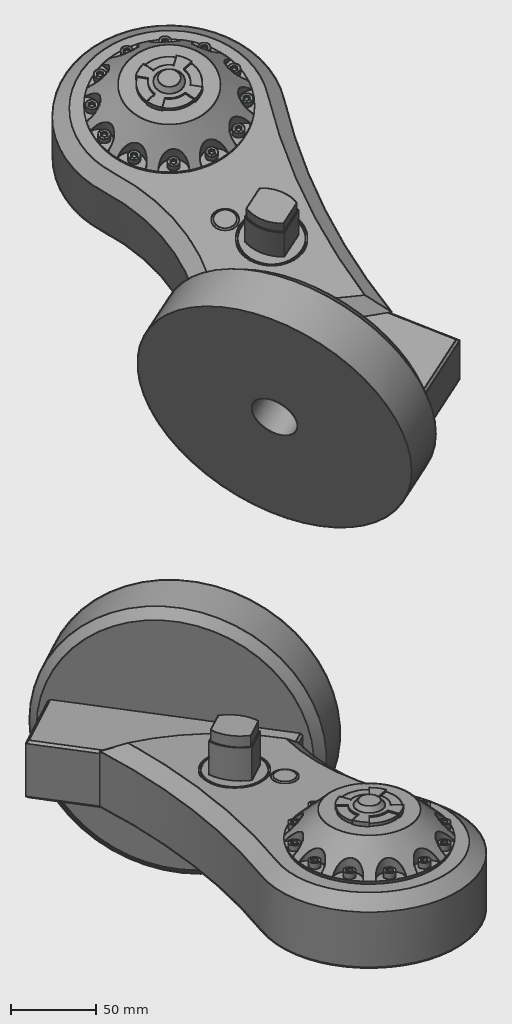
import math

import cadquery as cq

DISC_RADIUS = 90.0
DISC_THICKNESS = 37.5
DISC_CHAMFER = 6.0
BORE_RADIUS = 15.0

BLOCK_WIDTH = 154.5
BLOCK_BACK_Y = 87.5
BLOCK_HEIGHT = 39.0
BLOCK_TOP_Z = BLOCK_HEIGHT / 2
BASE_Z = -BLOCK_HEIGHT / 2
EDGE_BREAK = 1.6

HUB_RADIUS = 68.5
HUB_CENTER = (-150.0, 160.0)
RIM_HEIGHT = 7.5
RIM_WIDTH = 10.0
ARM_TOP_Z = BLOCK_TOP_Z + RIM_HEIGHT
LOWER_SIDE_RADIUS = 129.0
UPPER_SIDE_RADIUS = 460.0
TIP_RADIUS = 147.0
LOWER_CORNER = (-BLOCK_WIDTH / 2, 48.0)
UPPER_CORNER = (32.5, BLOCK_BACK_Y)

DOME_RADIUS = 50.0
DOME_FOOT_RADIUS = 49.0
DOME_FOOT_HEIGHT = 2.5
DOME_TOP_RADIUS = 30.0
DOME_HEIGHT = 22.0
DOME_TOP_Z = ARM_TOP_Z + DOME_HEIGHT

SCREW_COUNT = 12
SCALLOP_RADIUS = 9.2
SCALLOP_CIRCLE = 49.5
SEAT_Z = ARM_TOP_Z + DOME_FOOT_HEIGHT
SCREW_CIRCLE = 45.4
SCREW_RADIUS = 3.7
SCREW_HEIGHT = 4.0
SOCKET_ACROSS_CORNERS = 4.4
SOCKET_DEPTH = 2.0

CAP_RADIUS = 20.0
CAP_HEIGHT = 3.0
CAP_HUB_RADIUS = 12.5
SPOKE_COUNT = 4
SECTOR_RADIUS = 19.4
SECTOR_RECESS = 1.0
SPOKE_INNER_WIDTH = 6.5
SPOKE_OUTER_WIDTH = 10.5
KNOB_RADIUS = 9.3
KNOB_TOP_RADIUS = 6.7
KNOB_HEIGHT = 3.2

POST_CENTER = (-52.5, 100.0)
POST_WIDTH = 26.0
POST_DEPTH = 25.4
POST_FLAT_WIDTH = 18.8
POST_TOP_Z = 57.0
POST_STEP_Z = 49.5
POST_STEP_INSET = 0.8
GROOVE_RADIUS = 21.0
GROOVE_WIDTH = 1.2
GROOVE_DEPTH = 1.0

BUTTON_CENTER = (-83.0, POST_CENTER[1])
BUTTON_RADIUS = 8.2
BUTTON_SLOPE_WIDTH = 1.3
BUTTON_HEIGHT = 0.6


def circle_crossing(center_a, radius_a, center_b, radius_b):
    """Crossing of two circles that lies to the left of the line from a to b."""
    dx = center_b[0] - center_a[0]
    dy = center_b[1] - center_a[1]
    distance = math.hypot(dx, dy)
    along = (distance**2 + radius_a**2 - radius_b**2) / (2 * distance)
    across = math.sqrt(radius_a**2 - along**2)
    return (
        center_a[0] + (along * dx - across * dy) / distance,
        center_a[1] + (along * dy + across * dx) / distance,
    )


def toward(start, target, length):
    """Point at the given length from start in the direction of target."""
    dx = target[0] - start[0]
    dy = target[1] - start[1]
    scale = length / math.hypot(dx, dy)
    return (start[0] + scale * dx, start[1] + scale * dy)


def middle(point_a, point_b):
    return ((point_a[0] + point_b[0]) / 2, (point_a[1] + point_b[1]) / 2)


def arc_middle(center, radius, start, end):
    """Middle point of the shorter arc from start to end."""
    return toward(center, middle(start, end), radius)


def cylinder(center, radius, bottom_z, height):
    return cq.Workplane("XY", origin=(*center, bottom_z)).circle(radius).extrude(height)


def arm_outline(inset):
    """Closed arm outline, moved inward by the given inset."""
    lower_center = circle_crossing(
        LOWER_CORNER, LOWER_SIDE_RADIUS, HUB_CENTER, HUB_RADIUS + LOWER_SIDE_RADIUS
    )
    upper_center = circle_crossing(
        HUB_CENTER, HUB_RADIUS + UPPER_SIDE_RADIUS, UPPER_CORNER, UPPER_SIDE_RADIUS
    )
    tip_center = circle_crossing(LOWER_CORNER, TIP_RADIUS, UPPER_CORNER, TIP_RADIUS)

    hub_radius = HUB_RADIUS - inset
    lower_radius = LOWER_SIDE_RADIUS + inset
    upper_radius = UPPER_SIDE_RADIUS + inset
    tip_radius = TIP_RADIUS - inset

    lower_corner = circle_crossing(tip_center, tip_radius, lower_center, lower_radius)
    upper_corner = circle_crossing(upper_center, upper_radius, tip_center, tip_radius)
    lower_tangent = toward(HUB_CENTER, lower_center, hub_radius)
    upper_tangent = toward(HUB_CENTER, upper_center, hub_radius)
    chord_middle = middle(lower_tangent, upper_tangent)
    hub_far_point = toward(HUB_CENTER, chord_middle, -hub_radius)

    return (
        cq.Workplane("XY")
        .moveTo(*lower_corner)
        .threePointArc(arc_middle(tip_center, tip_radius, lower_corner, upper_corner), upper_corner)
        .threePointArc(arc_middle(upper_center, upper_radius, upper_corner, upper_tangent), upper_tangent)
        .threePointArc(hub_far_point, lower_tangent)
        .threePointArc(arc_middle(lower_center, lower_radius, lower_tangent, lower_corner), lower_corner)
        .close()
        .wire()
        .val()
    )


def make_block():
    """Joining block, starting inside the disc, with its upper edges broken."""
    front_y = DISC_THICKNESS / 2
    return (
        cq.Workplane("XY")
        .box(BLOCK_WIDTH, BLOCK_BACK_Y - front_y, BLOCK_HEIGHT, centered=(True, False, True))
        .translate((0, front_y, 0))
        .faces(">Z")
        .chamfer(EDGE_BREAK)
    )


def make_body():
    """Arm and block, with one broken edge around their common underside."""
    outline = arm_outline(0)
    bottom_wire = outline.translate(cq.Vector(0, 0, BASE_Z))
    walls = cq.Solid.extrudeLinear(bottom_wire, [], cq.Vector(0, 0, BLOCK_HEIGHT))
    rim_bottom = outline.translate(cq.Vector(0, 0, BLOCK_TOP_Z))
    rim_top = arm_outline(RIM_WIDTH).translate(cq.Vector(0, 0, ARM_TOP_Z))
    rim = cq.Solid.makeLoft([rim_bottom, rim_top], True)
    return (
        make_block()
        .union(cq.Workplane(walls))
        .faces("<Z")
        .chamfer(EDGE_BREAK)
        .union(cq.Workplane(rim))
    )


def make_disc():
    """Mounting disc with its rear rim chamfered."""
    return (
        cq.Workplane("XZ")
        .circle(DISC_RADIUS)
        .extrude(-DISC_THICKNESS)
        .faces(">Y")
        .chamfer(DISC_CHAMFER)
    )


def make_bore():
    """Blind bore, as deep as the disc is thick."""
    return cq.Workplane("XZ").circle(BORE_RADIUS).extrude(-DISC_THICKNESS)


def around_hub(radius, count):
    """Points evenly spaced on a circle about the hub axis."""
    angles = [2 * math.pi * index / count for index in range(count)]
    return [
        (HUB_CENTER[0] + radius * math.cos(angle), HUB_CENTER[1] + radius * math.sin(angle))
        for angle in angles
    ]


def make_dome():
    """Truncated cone on a short flared foot, cut by the scallops."""
    profile = [
        (0, ARM_TOP_Z),
        (DOME_FOOT_RADIUS, ARM_TOP_Z),
        (DOME_RADIUS, SEAT_Z),
        (DOME_TOP_RADIUS, DOME_TOP_Z),
        (0, DOME_TOP_Z),
    ]
    dome = (
        cq.Workplane("XZ")
        .polyline(profile)
        .close()
        .revolve(360, (0, 0), (0, 1))
        .translate((*HUB_CENTER, 0))
    )
    for center in around_hub(SCALLOP_CIRCLE, SCREW_COUNT):
        dome = dome.cut(cylinder(center, SCALLOP_RADIUS, SEAT_Z, DOME_HEIGHT))
    return dome


def make_screw(center):
    """Cap-screw head with a hexagon socket."""
    return (
        cylinder(center, SCREW_RADIUS, SEAT_Z, SCREW_HEIGHT)
        .faces(">Z")
        .workplane()
        .polygon(6, SOCKET_ACROSS_CORNERS)
        .cutBlind(-SOCKET_DEPTH)
    )


def make_spokes():
    """Spokes that flare toward the cap's rim."""
    hub_edge = math.sqrt(CAP_HUB_RADIUS**2 - (SPOKE_INNER_WIDTH / 2) ** 2)
    spoke_outline = [
        (0, -SPOKE_INNER_WIDTH / 2),
        (hub_edge, -SPOKE_INNER_WIDTH / 2),
        (CAP_RADIUS, -SPOKE_OUTER_WIDTH / 2),
        (CAP_RADIUS, SPOKE_OUTER_WIDTH / 2),
        (hub_edge, SPOKE_INNER_WIDTH / 2),
        (0, SPOKE_INNER_WIDTH / 2),
    ]
    spoke = (
        cq.Workplane("XY", origin=(*HUB_CENTER, DOME_TOP_Z))
        .polyline(spoke_outline)
        .close()
        .extrude(CAP_HEIGHT)
        .intersect(cylinder(HUB_CENTER, CAP_RADIUS, DOME_TOP_Z, CAP_HEIGHT))
    )
    axis_start = (*HUB_CENTER, 0)
    axis_end = (*HUB_CENTER, 1)
    spokes = spoke
    for index in range(1, SPOKE_COUNT):
        spokes = spokes.union(spoke.rotate(axis_start, axis_end, index * 360 / SPOKE_COUNT))
    return spokes


def make_cap():
    """Spoked cap with a tapered knob in the middle."""
    plate = cylinder(HUB_CENTER, SECTOR_RADIUS, DOME_TOP_Z, CAP_HEIGHT - SECTOR_RECESS)
    hub = cylinder(HUB_CENTER, CAP_HUB_RADIUS, DOME_TOP_Z, CAP_HEIGHT)
    knob_taper = math.degrees(math.atan2(KNOB_RADIUS - KNOB_TOP_RADIUS, KNOB_HEIGHT))
    knob = (
        cq.Workplane("XY", origin=(*HUB_CENTER, DOME_TOP_Z + CAP_HEIGHT))
        .circle(KNOB_RADIUS)
        .extrude(KNOB_HEIGHT, taper=knob_taper)
    )
    return plate.union(hub).union(make_spokes()).union(knob)


def post_section(inset, top_z):
    """Prism with flat sides across X and bowed sides across Y, inset all round."""
    half_width = POST_WIDTH / 2 - inset
    half_depth = POST_DEPTH / 2 - inset
    half_flat = POST_FLAT_WIDTH / 2 - inset
    return (
        cq.Workplane("XY", origin=(*POST_CENTER, ARM_TOP_Z))
        .moveTo(-half_width, -half_flat)
        .threePointArc((0, -half_depth), (half_width, -half_flat))
        .lineTo(half_width, half_flat)
        .threePointArc((0, half_depth), (-half_width, half_flat))
        .close()
        .extrude(top_z - ARM_TOP_Z)
    )


def make_post():
    """Key post that steps in all round near its top."""
    lower = post_section(0, POST_STEP_Z)
    upper = post_section(POST_STEP_INSET, POST_TOP_Z)
    return lower.union(upper)


def make_groove():
    """Narrow ring groove around the post."""
    floor_z = ARM_TOP_Z - GROOVE_DEPTH
    outer = cylinder(POST_CENTER, GROOVE_RADIUS, floor_z, GROOVE_DEPTH)
    return outer.cut(cylinder(POST_CENTER, GROOVE_RADIUS - GROOVE_WIDTH, floor_z, GROOVE_DEPTH))


def make_button():
    """Low round button with a sloped edge."""
    slope = math.degrees(math.atan2(BUTTON_SLOPE_WIDTH, BUTTON_HEIGHT))
    return (
        cq.Workplane("XY", origin=(*BUTTON_CENTER, ARM_TOP_Z))
        .circle(BUTTON_RADIUS)
        .extrude(BUTTON_HEIGHT, taper=slope)
    )


part = make_body().union(make_disc()).cut(make_bore()).cut(make_groove()).union(make_dome())
for screw_center in around_hub(SCREW_CIRCLE, SCREW_COUNT):
    part = part.union(make_screw(screw_center))
result = part.union(make_cap()).union(make_post()).union(make_button())